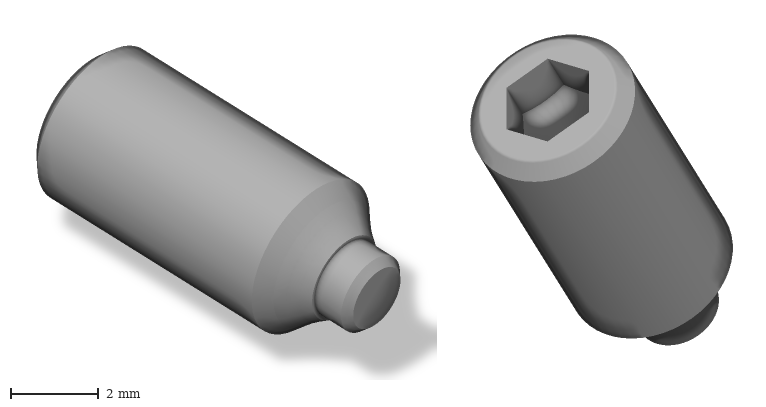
import cadquery as cq
import math

LENGTH = 9.0
BODY_RADIUS = 2.0
SOCKET_END_CHAMFER = 0.34
SOCKET_END_FILLET = 0.1

TAPER_START = 6.96
TAPER_CONE_LENGTH = 0.35
TAPER_END_RADIUS = 1.1

PIN_LENGTH = 1.0
PIN_RADIUS = 1.0
PIN_CHAMFER = 0.2

HEX_ACROSS_FLATS = 2.0
HEX_DEPTH = 1.1
SOCKET_TIP_ANGLE = 120.0

taper_cone_end = TAPER_START + TAPER_CONE_LENGTH
shoulder = LENGTH - PIN_LENGTH
hex_corner_radius = HEX_ACROSS_FLATS / math.sqrt(3)
socket_tip_depth = HEX_DEPTH + hex_corner_radius / math.tan(math.radians(SOCKET_TIP_ANGLE / 2))


def make_screw_body():
    """Revolve the half profile: chamfered body, concave taper and dog point."""
    profile = (
        cq.Workplane("XY")
        .moveTo(0, 0)
        .lineTo(0, BODY_RADIUS - SOCKET_END_CHAMFER)
        .lineTo(SOCKET_END_CHAMFER, BODY_RADIUS)
        .lineTo(TAPER_START, BODY_RADIUS)
        .lineTo(taper_cone_end, BODY_RADIUS - TAPER_CONE_LENGTH)
        .tangentArcPoint((shoulder, TAPER_END_RADIUS), relative=False)
        .lineTo(shoulder, PIN_RADIUS)
        .lineTo(LENGTH - PIN_CHAMFER, PIN_RADIUS)
        .lineTo(LENGTH, PIN_RADIUS - PIN_CHAMFER)
        .lineTo(LENGTH, 0)
        .close()
    )
    body = profile.revolve(360, (0, 0, 0), (1, 0, 0))
    return body.faces("<X").edges().fillet(SOCKET_END_FILLET)


def make_hex_socket():
    """Hexagonal prism with corners on the Z axis, trimmed to a conical floor."""
    hexagon = (
        cq.Workplane("YZ")
        .transformed(rotate=(0, 0, 90))
        .polygon(6, 2 * hex_corner_radius)
        .extrude(socket_tip_depth)
    )
    drill = (
        cq.Workplane("XY")
        .polyline([
            (0, 0),
            (0, hex_corner_radius),
            (HEX_DEPTH, hex_corner_radius),
            (socket_tip_depth, 0),
        ])
        .close()
        .revolve(360, (0, 0, 0), (1, 0, 0))
    )
    return hexagon.intersect(drill)


result = make_screw_body().cut(make_hex_socket())